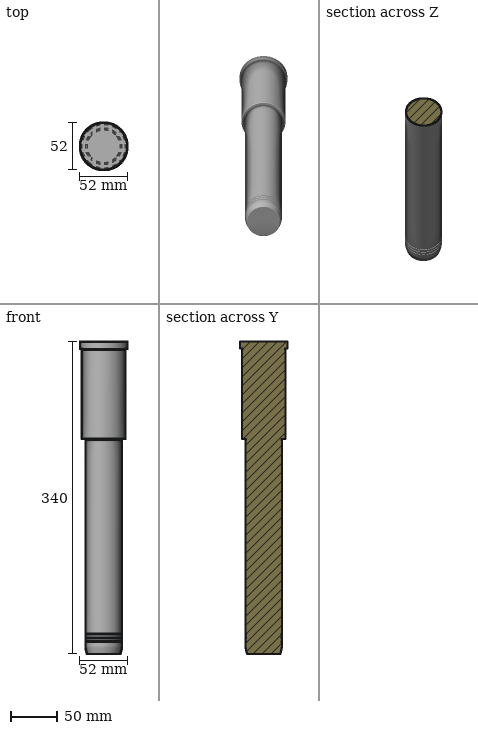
import cadquery as cq
import math

total_length = 340.0
flange_radius = 52.0 / 2
flange_height = 8.0
sleeve_radius = 48.0 / 2
sleeve_length = 98.0
pin_radius = 40.0 / 2
edge_chamfer = 0.5

tip_radius = 36.5 / 2
tip_height = 8.0
tip_bulge = 0.2

groove_count = 3
groove_width = 1.0
groove_depth = 0.5
groove_pitch = 4.0
lowest_groove_z = 13.3

flange_bottom = total_length - flange_height
sleeve_bottom = flange_bottom - sleeve_length


def cylinder(radius, bottom, top):
    return cq.Workplane("XY").workplane(offset=bottom).circle(radius).extrude(top - bottom)


def bulged_tip():
    """Revolved lead-in with a bowed side and a chamfered lower edge."""
    inset = pin_radius - tip_radius
    chord = math.hypot(inset, tip_height)
    arc_middle = (
        (pin_radius + tip_radius) / 2 + tip_bulge * tip_height / chord,
        tip_height / 2 - tip_bulge * inset / chord,
    )
    profile = (
        cq.Workplane("XZ")
        .lineTo(tip_radius, 0)
        .threePointArc(arc_middle, (pin_radius, tip_height))
        .lineTo(0, tip_height)
        .close()
    )
    tip = profile.revolve(360, (0, 0, 0), (0, 1, 0))
    return tip.faces("<Z").edges().chamfer(edge_chamfer)


def ring_groove(bottom, wall_radius):
    top = bottom + groove_width
    outer = cylinder(wall_radius, bottom, top)
    return outer.cut(cylinder(wall_radius - groove_depth, bottom, top))


pin = cylinder(pin_radius, tip_height, sleeve_bottom)
sleeve = cylinder(sleeve_radius, sleeve_bottom, flange_bottom).faces("<Z").edges().chamfer(edge_chamfer)
flange = cylinder(flange_radius, flange_bottom, total_length).faces(">Z").edges().chamfer(edge_chamfer)

result = bulged_tip().union(pin).union(sleeve).union(flange)

for index in range(groove_count):
    result = result.cut(ring_groove(lowest_groove_z + index * groove_pitch, pin_radius))

result = result.cut(ring_groove(sleeve_bottom - groove_width, pin_radius))
result = result.cut(ring_groove(flange_bottom - groove_width, sleeve_radius))